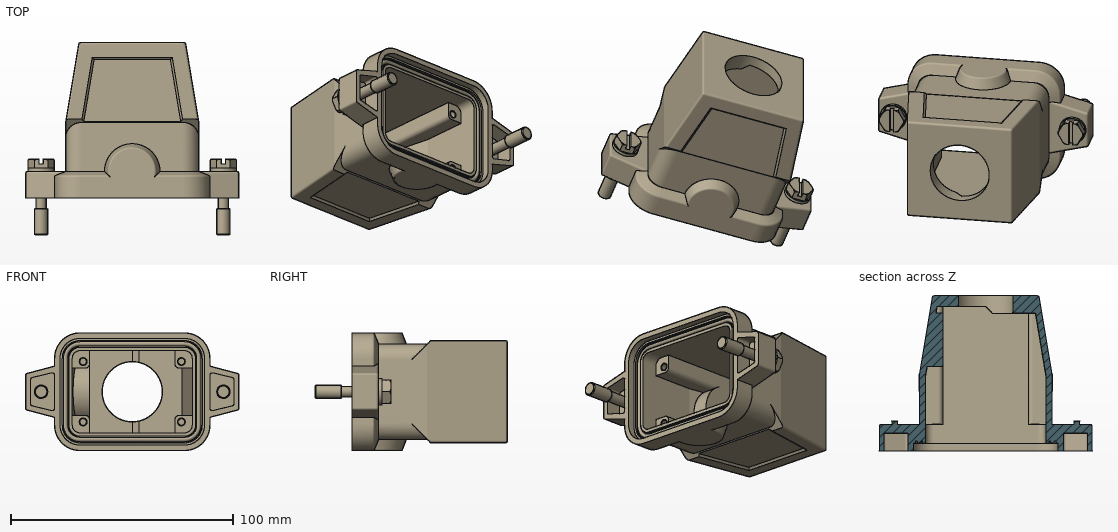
import cadquery as cq


lug_span = 96.0
total_height = 53.0
cable_end_y = 70.0
screw_reach = 16.6

cavity_half_x = 27.0
cavity_half_z = 18.5
flange_wall = total_height / 2 - cavity_half_z
cavity_corner_radius = 3.5
seat_offset = 5.5
seat_depth = 3.5
groove_inner_offset = 1.5
groove_outer_offset = 4.5
groove_depth = 1.0
gasket_radius = 1.0

flange_height = 12.0
flange_slope_run = 5.0
flange_slope_drop = 2.0
edge_round = 1.0

body_wall = 3.0
body_half_x = cavity_half_x + body_wall
body_half_z = cavity_half_z + body_wall
body_corner_radius = 7.0

head_half_z = 23.0
head_end_half_x = 24.0
taper_start_y = 34.0
ramp_top_y = taper_start_y + head_half_z - body_half_z
ramp_drop = head_half_z - (body_half_z - body_corner_radius)
ramp_bottom_y = ramp_top_y - ramp_drop
side_slope = (body_half_x - head_end_half_x) / (cable_end_y - taper_start_y)

panel_depth = 1.0
panel_end_y = 63.3
panel_end_half_x = 18.0
panel_draft = 45.0
panel_overrun = 2.0

boss_top_radius = 10.6
boss_base_radius = 12.5
boss_round = 0.8

cable_hole_diameter = 27.0
floor_low_x_y = 65.0
floor_high_x_y = 62.0
floor_step_width = 3.0
side_boss_radius = 13.5
side_boss_y = 50.0

post_inner_x = 19.2
post_inner_z = 10.6
post_start_y = 12.0
post_round = 2.0
post_hole_x = 22.1
post_hole_z = 13.6
post_hole_diameter = 3.0
post_hole_mouth_diameter = 3.5
post_hole_depth = 12.0

lug_root_x = 28.0
lug_tip_half_z = 8.1
lug_root_half_z = 13.4
lug_pocket_depth = 8.0
lug_pocket_tip_x = 45.7
lug_pocket_tip_half_z = 6.2
lug_pocket_root_half_z = 8.8
lug_pocket_round = 1.0

screw_x = 41.0
screw_neck_radius = 2.4
screw_thread_radius = 3.0
screw_thread_length = 12.0
screw_chamfer = 0.4
washer_radius = 6.0
washer_height = 1.5
hex_corner_diameter = 12.0
hex_height = 4.0
hex_edge_chamfer = 0.5
slot_width = 1.8
slot_depth = 2.1


def xz_plane(y):
    """Sketch plane across the part at height y; it extrudes toward +Y and its local y is -Z."""
    return cq.Workplane(cq.Plane(origin=(0, y, 0), xDir=(1, 0, 0), normal=(0, 1, 0)))


def rounded_block(half_x, half_z, radius, y_start, y_end):
    block = xz_plane(y_start).rect(2 * half_x, 2 * half_z).extrude(y_end - y_start)
    return block.edges("|Y").fillet(radius)


def cavity_offset_block(offset, y_start, y_end):
    """Block whose outline is the cavity outline grown outward by offset."""
    return rounded_block(
        cavity_half_x + offset, cavity_half_z + offset, cavity_corner_radius + offset, y_start, y_end
    )


def both_sides_x(solid):
    return solid.union(solid.mirror("YZ"))


def both_sides_z(solid):
    return solid.union(solid.mirror("XY"))


def make_flange():
    flange = cavity_offset_block(flange_wall, 0, flange_height)
    flange = flange.faces(">Y").chamfer(flange_slope_drop, flange_slope_run)
    slope_foot_y = flange_height - flange_slope_drop
    margin = flange_slope_drop / 2
    slope_foot = cq.selectors.BoxSelector(
        (-lug_span, slope_foot_y - margin, -lug_span), (lug_span, slope_foot_y + margin, lug_span)
    )
    return flange.edges(slope_foot).fillet(edge_round)


def make_body():
    return rounded_block(body_half_x, body_half_z, body_corner_radius, 0, taper_start_y)


def make_head():
    taper = (
        cq.Workplane("XY", origin=(0, 0, -head_half_z))
        .moveTo(-body_half_x, taper_start_y)
        .lineTo(-head_end_half_x, cable_end_y)
        .lineTo(head_end_half_x, cable_end_y)
        .lineTo(body_half_x, taper_start_y)
        .close()
        .extrude(2 * head_half_z)
    )
    taper = taper.edges("not(<Y)").fillet(edge_round)
    straight = xz_plane(ramp_bottom_y).rect(2 * body_half_x, 2 * head_half_z)
    straight = straight.extrude(taper_start_y - ramp_bottom_y)
    ramp_foot_z = head_half_z - ramp_drop
    ramp_envelope = (
        cq.Workplane("YZ", origin=(-body_half_x, 0, 0))
        .moveTo(ramp_bottom_y, -ramp_foot_z)
        .lineTo(ramp_top_y, -head_half_z)
        .lineTo(cable_end_y, -head_half_z)
        .lineTo(cable_end_y, head_half_z)
        .lineTo(ramp_top_y, head_half_z)
        .lineTo(ramp_bottom_y, ramp_foot_z)
        .close()
        .extrude(2 * body_half_x)
    )
    return taper.union(straight).intersect(ramp_envelope)


def make_panel_cut():
    panel_start_half_x = panel_end_half_x + side_slope * (panel_end_y - taper_start_y)
    open_end_y = taper_start_y - panel_overrun
    open_end_half_x = panel_start_half_x + side_slope * panel_overrun
    panel = (
        cq.Workplane("XY", origin=(0, 0, head_half_z))
        .moveTo(-open_end_half_x, open_end_y)
        .lineTo(-panel_end_half_x, panel_end_y)
        .lineTo(panel_end_half_x, panel_end_y)
        .lineTo(open_end_half_x, open_end_y)
        .close()
        .extrude(-panel_depth, taper=panel_draft)
    )
    return both_sides_z(panel)


def make_flange_bosses():
    height = total_height / 2 - body_half_z
    boss = (
        cq.Workplane("XY", origin=(0, flange_height, body_half_z))
        .circle(boss_base_radius)
        .workplane(offset=height)
        .circle(boss_top_radius)
        .loft()
    )
    boss = boss.faces(">Z").edges().fillet(boss_round)
    keep_above_seat = xz_plane(seat_depth).rect(lug_span, 2 * total_height).extrude(cable_end_y)
    return both_sides_z(boss.intersect(keep_above_seat))


def make_lugs():
    lug_tip_x = lug_span / 2
    lug = (
        xz_plane(0)
        .polyline([
            (lug_root_x, -lug_root_half_z),
            (lug_tip_x, -lug_tip_half_z),
            (lug_tip_x, lug_tip_half_z),
            (lug_root_x, lug_root_half_z),
        ])
        .close()
        .extrude(flange_height)
    )
    lug = lug.edges(">Y or (|Y and >X)").fillet(edge_round)
    return both_sides_x(lug)


def make_lug_pocket_cuts():
    pocket_root_x = cavity_half_x + flange_wall
    pocket = (
        xz_plane(0)
        .polyline([
            (pocket_root_x, -lug_pocket_root_half_z),
            (lug_pocket_tip_x, -lug_pocket_tip_half_z),
            (lug_pocket_tip_x, lug_pocket_tip_half_z),
            (pocket_root_x, lug_pocket_root_half_z),
        ])
        .close()
        .extrude(lug_pocket_depth)
        .edges("|Y")
        .fillet(lug_pocket_round)
    )
    return both_sides_x(pocket)


def make_posts():
    """Four posts running up the corners of the cavity to its floor."""
    width_x = cavity_half_x - post_inner_x
    width_z = cavity_half_z - post_inner_z
    post = (
        xz_plane(post_start_y)
        .center((cavity_half_x + post_inner_x) / 2, (cavity_half_z + post_inner_z) / 2)
        .rect(width_x, width_z)
        .extrude(cable_end_y - post_start_y)
        .edges("|Y and <X and >Z")
        .fillet(post_round)
    )
    return both_sides_x(both_sides_z(post))


def make_post_hole_cuts():
    mouth_chamfer = (post_hole_mouth_diameter - post_hole_diameter) / 2
    hole_points = [(x, z) for x in (-post_hole_x, post_hole_x) for z in (-post_hole_z, post_hole_z)]
    holes = xz_plane(post_start_y).pushPoints(hole_points).circle(post_hole_diameter / 2)
    holes = holes.extrude(post_hole_depth)
    mouths = xz_plane(post_start_y).pushPoints(hole_points).circle(post_hole_mouth_diameter / 2)
    return holes.union(mouths.extrude(mouth_chamfer))


def make_cavity_cut():
    """Inner space: tapered like the head, less the side inlet boss and the posts."""

    def wall_x(y):
        return cavity_half_x - side_slope * (y - taper_start_y)

    tapered = (
        cq.Workplane("XY", origin=(0, 0, -cavity_half_z))
        .moveTo(-cavity_half_x, 0)
        .lineTo(-cavity_half_x, taper_start_y)
        .lineTo(-wall_x(floor_low_x_y), floor_low_x_y)
        .lineTo(0, floor_low_x_y)
        .lineTo(floor_step_width, floor_high_x_y)
        .lineTo(wall_x(floor_high_x_y), floor_high_x_y)
        .lineTo(cavity_half_x, taper_start_y)
        .lineTo(cavity_half_x, 0)
        .close()
        .extrude(2 * cavity_half_z)
    )
    cavity = tapered.intersect(cavity_offset_block(0, 0, cable_end_y))
    side_boss = (
        cq.Workplane("YZ", origin=(-body_half_x, side_boss_y, 0))
        .circle(side_boss_radius)
        .extrude(body_half_x - post_inner_x)
    )
    return cavity.cut(side_boss).cut(make_posts())


def make_gasket_seat_cut():
    """Seat step and the groove around the cavity, less the round seal ring lying in the groove."""
    groove_floor_y = seat_depth + groove_depth
    seat = cavity_offset_block(seat_offset, 0, seat_depth)
    groove = cavity_offset_block(groove_outer_offset, seat_depth, groove_floor_y)
    groove = groove.cut(cavity_offset_block(groove_inner_offset, seat_depth, groove_floor_y))
    ring_offset = (groove_inner_offset + groove_outer_offset) / 2
    ring_path = cavity_offset_block(ring_offset, groove_floor_y, cable_end_y).faces("<Y").wires().val()
    ring_section = cq.Workplane("YZ", origin=(0, groove_floor_y, cavity_half_z + ring_offset))
    ring = ring_section.circle(gasket_radius).sweep(ring_path)
    return seat.union(groove).cut(ring)


def make_cable_hole_cut():
    return xz_plane(floor_high_x_y).circle(cable_hole_diameter / 2).extrude(cable_end_y - floor_high_x_y)


def make_screw():
    shank = xz_plane(-screw_reach).circle(screw_neck_radius).extrude(screw_reach + flange_height)
    thread = xz_plane(-screw_reach).circle(screw_thread_radius).extrude(screw_thread_length)
    thread = thread.faces("<Y or >Y").chamfer(screw_chamfer)
    washer = xz_plane(flange_height).circle(washer_radius).extrude(washer_height)
    hex_y = flange_height + washer_height
    hex_head = xz_plane(hex_y).polygon(6, hex_corner_diameter).extrude(hex_height)
    cone = xz_plane(hex_y).circle(hex_corner_diameter / 2).extrude(hex_height)
    hex_head = hex_head.intersect(cone.faces(">Y").chamfer(hex_edge_chamfer))
    slot = xz_plane(hex_y + hex_height - slot_depth).rect(slot_width, hex_corner_diameter).extrude(slot_depth)
    screw = shank.union(thread).union(washer).union(hex_head.cut(slot))
    return screw.translate((screw_x, 0, 0))


shell = make_flange().union(make_body()).union(make_head())
shell = shell.union(make_flange_bosses()).union(make_lugs())
shell = shell.cut(make_panel_cut()).cut(make_lug_pocket_cuts())

shell = shell.cut(make_cavity_cut()).cut(make_gasket_seat_cut())
shell = shell.cut(make_post_hole_cuts()).cut(make_cable_hole_cut())

result = shell.union(both_sides_x(make_screw()))